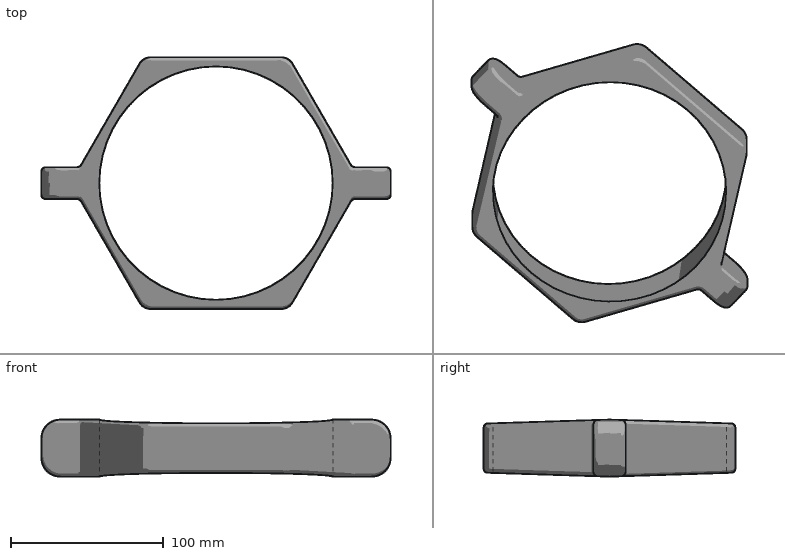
import cadquery as cq
import math

length = 228.5
across_flats = 164.8
center_height = 37.5
flat_height = 32.2
bore_diameter = 152.5
lug_width = 21.0
lug_end_radius = 12.5
hex_corner_radius = 9.0
lug_root_radius = 3.0
edge_radius = 3.0
tolerance = 0.02

across_corners = across_flats / math.cos(math.pi / 6)
half_depth = across_flats / 2
corner_x = across_corners / 4
root_x = across_corners / 2 - lug_width / 2 * math.tan(math.pi / 6)


def vertical_edges_at(body, x, y):
    """Select the four symmetric vertical edges at (+-x, +-y)."""

    def at_corner(edge):
        center = edge.Center()
        return abs(abs(center.x) - x) < tolerance and abs(abs(center.y) - y) < tolerance

    return body.edges("|Z").filter(at_corner)


def plan_body():
    """Hexagon with two opposite lugs, with its vertical corners rounded."""
    hexagon = cq.Workplane("XY").polygon(6, across_corners).extrude(center_height / 2, both=True)
    lugs = cq.Workplane("XY").box(length, lug_width, center_height)
    body = hexagon.union(lugs)
    body = vertical_edges_at(body, corner_x, half_depth).fillet(hex_corner_radius)
    return vertical_edges_at(body, root_x, lug_width / 2).fillet(lug_root_radius)


def side_envelope():
    """Height profile that falls away evenly from the ridge at Y = 0."""
    return (
        cq.Workplane("YZ")
        .moveTo(0, center_height / 2)
        .lineTo(half_depth, flat_height / 2)
        .lineTo(half_depth, -flat_height / 2)
        .lineTo(0, -center_height / 2)
        .lineTo(-half_depth, -flat_height / 2)
        .lineTo(-half_depth, flat_height / 2)
        .close()
        .extrude(length / 2, both=True)
    )


def round_lug_tips(body):
    """Round the top and bottom edges of both lug ends, carrying the ridge around them."""

    def on_tip_top_or_bottom(edge):
        center = edge.Center()
        at_end = abs(abs(center.x) - length / 2) < tolerance
        return at_end and abs(center.z) > center_height / 4

    return body.edges().filter(on_tip_top_or_bottom).fillet(lug_end_radius)


def outer_rim_edges(body):
    """Select the top and bottom rim and the lug tip edges."""
    lug_side = lug_width / 2

    def on_rim(edge):
        box = edge.BoundingBox()
        along_lug_side = min(abs(box.ymin), abs(box.ymax)) > lug_side - tolerance
        vertical = box.xmax - box.xmin < tolerance and box.ymax - box.ymin < tolerance
        on_tip = abs(edge.Center().x) > length / 2 - tolerance
        return along_lug_side and box.ymin * box.ymax > 0 and (on_tip or not vertical)

    return body.edges().filter(on_rim)


body = round_lug_tips(plan_body().intersect(side_envelope()))
body = outer_rim_edges(body).fillet(edge_radius)
bore = cq.Workplane("XY").circle(bore_diameter / 2).extrude(center_height, both=True)
result = body.cut(bore)